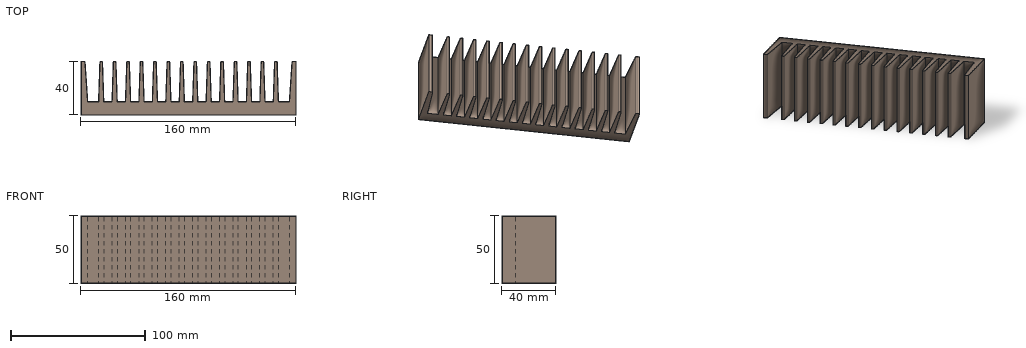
import cadquery as cq

length = 160.0
depth = 40.0
height = 50.0

base_thickness = 10.0
end_wall_tip = 3.0
end_wall_root = 5.0

fin_count = 14
fin_pitch = 10.0
fin_root = 4.0
fin_tip = 2.0

tip_radius = 1.0

x_end = length / 2
y_back = -depth / 2
y_tip = depth / 2
y_floor = y_back + base_thickness
z_bottom = -height / 2


def extrude_profile(points):
    """Extrude a closed XY outline over the full height."""
    return cq.Workplane("XY").workplane(offset=z_bottom).polyline(points).close().extrude(height)


def make_body():
    """Base plate with an end wall on each side."""
    x_wall_tip = x_end - end_wall_tip
    x_wall_root = x_end - end_wall_root
    body = extrude_profile([
        (-x_end, y_back),
        (x_end, y_back),
        (x_end, y_tip),
        (x_wall_tip, y_tip),
        (x_wall_root, y_floor),
        (-x_wall_root, y_floor),
        (-x_wall_tip, y_tip),
        (-x_end, y_tip),
    ])
    for x_inner_tip in (-x_wall_tip, x_wall_tip):
        inner_tip_edge = cq.selectors.NearestToPointSelector((x_inner_tip, y_tip, 0))
        body = body.edges(inner_tip_edge).fillet(tip_radius)
    return body


def make_fin(x_center):
    """One tapered fin standing on the base plate, with both tip edges rounded."""
    fin = extrude_profile([
        (x_center - fin_root / 2, y_floor),
        (x_center + fin_root / 2, y_floor),
        (x_center + fin_tip / 2, y_tip),
        (x_center - fin_tip / 2, y_tip),
    ])
    return fin.faces(">Y").edges("|Z").fillet(tip_radius)


result = make_body()
for index in range(fin_count):
    x_fin = (index - (fin_count - 1) / 2) * fin_pitch
    result = result.union(make_fin(x_fin))